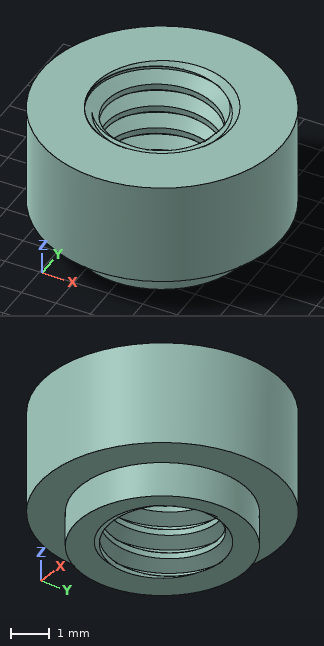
import cadquery as cq
import math

body_diameter = 7.0
spigot_diameter = 5.0
total_height = 4.0
spigot_height = 1.0

minor_diameter = 3.24
major_diameter = 4.0
pitch = 0.7
flank_half_angle = math.radians(30)
root_width = pitch / 8
start_angle = -28.0
cutter_overlap = 0.035

countersink_diameter = 4.005
countersink_floor_diameter = 3.61
countersink_depth = (countersink_diameter - countersink_floor_diameter) / 2


def make_collar():
    spigot = cq.Workplane("XY").circle(spigot_diameter / 2).extrude(spigot_height)
    body = (
        cq.Workplane("XY")
        .workplane(offset=spigot_height)
        .circle(body_diameter / 2)
        .extrude(total_height - spigot_height)
    )
    return spigot.union(body)


def make_bore():
    """Through bore at the minor diameter, opening through a flat floor into a cone at the top."""
    bore_radius = minor_diameter / 2
    return (
        cq.Workplane("XZ")
        .lineTo(bore_radius, 0)
        .lineTo(bore_radius, total_height - countersink_depth)
        .lineTo(countersink_floor_diameter / 2, total_height - countersink_depth)
        .lineTo(countersink_diameter / 2, total_height)
        .lineTo(0, total_height)
        .close()
        .revolve(360, (0, 0, 0), (0, 1, 0))
    )


def make_thread_groove():
    """Trapezoidal cutter swept on a helix that overruns both ends of the bore."""
    inner_radius = minor_diameter / 2 - cutter_overlap
    outer_radius = major_diameter / 2
    root_half = root_width / 2
    mouth_half = root_half + (outer_radius - inner_radius) * math.tan(flank_half_angle)
    helix = cq.Wire.makeHelix(pitch, total_height + 2 * pitch, inner_radius)
    groove = (
        cq.Workplane("XZ")
        .moveTo(inner_radius, -mouth_half)
        .lineTo(outer_radius, -root_half)
        .lineTo(outer_radius, root_half)
        .lineTo(inner_radius, mouth_half)
        .close()
        .sweep(cq.Workplane(helix), isFrenet=True)
    )
    return groove.translate((0, 0, -pitch)).rotate((0, 0, 0), (0, 0, 1), start_angle)


result = make_collar().cut(make_bore()).cut(make_thread_groove())